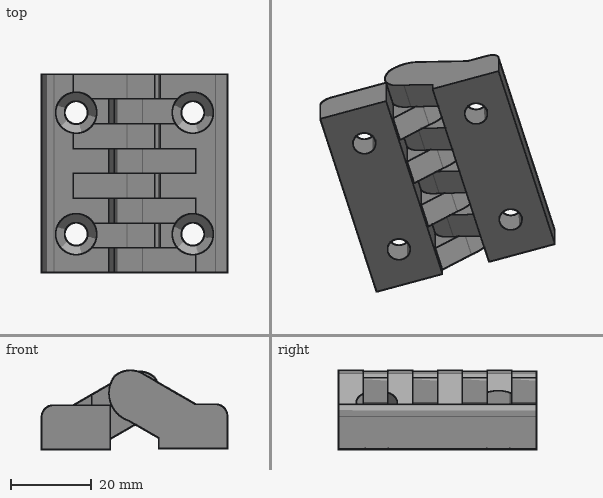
import cadquery as cq
import math

hinge_width = 45.97
hinge_length = 49.0
hinge_height = 19.61

block_width = 17.0
block_height = 11.0
edge_radius = 3.0

arm_count = 4
arm_angle = math.radians(30)
arm_inset = 7.92
upper_slope_end = 21.05
lower_slope_height = 2.6

crown_radius = 5.9
nose_radius = 7.2
nose_center_x = 22.1
nose_z = 13.7

screw_diameter = 5.6
head_diameter = 10.15
countersink_angle = math.radians(90)
screw_spacing_x = 28.8
screw_spacing_y = 30.0

arm_width = hinge_length / (2 * arm_count)
outer_x = -hinge_width / 2
inner_x = outer_x + block_width
slope = math.tan(arm_angle)
upper_end_x = outer_x + upper_slope_end
upper_end_z = block_height + (upper_slope_end - arm_inset) * slope
crown_x = upper_end_x + crown_radius * math.sin(arm_angle)
crown_z = upper_end_z - crown_radius * math.cos(arm_angle)
nose_x = outer_x + nose_center_x
leaf_height = crown_z + crown_radius
raised_leaf_offset = hinge_height - leaf_height


def crown_nose_joint():
    """Upper crossing of the crown circle with the nose circle."""
    dx = nose_x - crown_x
    dz = nose_z - crown_z
    gap = math.hypot(dx, dz)
    along = (gap**2 + crown_radius**2 - nose_radius**2) / (2 * gap)
    across = math.sqrt(crown_radius**2 - along**2)
    crossings = [
        (
            crown_x + (along * dx - side * across * dz) / gap,
            crown_z + (along * dz + side * across * dx) / gap,
        )
        for side in (-1, 1)
    ]
    return max(crossings, key=lambda point: point[1])


def nose_end():
    """Point where the nose circle runs into the lower slope, at the crossing nearer the block."""
    height = lower_slope_height + (nose_x - inner_x) * slope - nose_z
    distance = height * math.cos(arm_angle)
    angle = math.pi - math.asin(distance / nose_radius) + arm_angle
    return nose_x + nose_radius * math.cos(angle), nose_z + nose_radius * math.sin(angle)


def make_block():
    return (
        cq.Workplane("XY")
        .box(block_width, hinge_length, block_height, centered=(False, True, False))
        .translate((outer_x, 0, 0))
        .edges("<X and >Z")
        .fillet(edge_radius)
    )


def make_arm(far_side_y):
    """One arm, from far_side_y towards -Y."""
    return (
        cq.Workplane("XZ", origin=(0, far_side_y, 0))
        .moveTo(outer_x + arm_inset, block_height)
        .lineTo(upper_end_x, upper_end_z)
        .threePointArc((crown_x, leaf_height), crown_nose_joint())
        .threePointArc((nose_x + nose_radius, nose_z), nose_end())
        .lineTo(inner_x, lower_slope_height)
        .lineTo(outer_x + arm_inset, lower_slope_height)
        .close()
        .extrude(arm_width)
    )


def make_screw_cutter():
    """Through hole, countersink, and a straight passage for the head above the block."""
    screw_radius = screw_diameter / 2
    head_radius = head_diameter / 2
    sink_depth = (head_radius - screw_radius) / math.tan(countersink_angle / 2)
    return (
        cq.Workplane("XZ")
        .lineTo(screw_radius, 0)
        .lineTo(screw_radius, block_height - sink_depth)
        .lineTo(head_radius, block_height)
        .lineTo(head_radius, hinge_height)
        .lineTo(0, hinge_height)
        .close()
        .revolve(360, (0, 0, 0), (0, 1, 0))
    )


def make_leaf():
    """The -X leaf, its first arm flush with the +Y end."""
    leaf = make_block()
    for index in range(arm_count):
        leaf = leaf.union(make_arm(hinge_length / 2 - 2 * index * arm_width))
    for side in (-1, 1):
        cutter = make_screw_cutter().translate((-screw_spacing_x / 2, side * screw_spacing_y / 2, 0))
        leaf = leaf.cut(cutter)
    return leaf.solids()


lower_leaf = make_leaf()
raised_leaf = make_leaf().rotate((0, 0, 0), (0, 0, 1), 180).translate((0, 0, raised_leaf_offset))

result = cq.Compound.makeCompound([lower_leaf.val(), raised_leaf.val()])